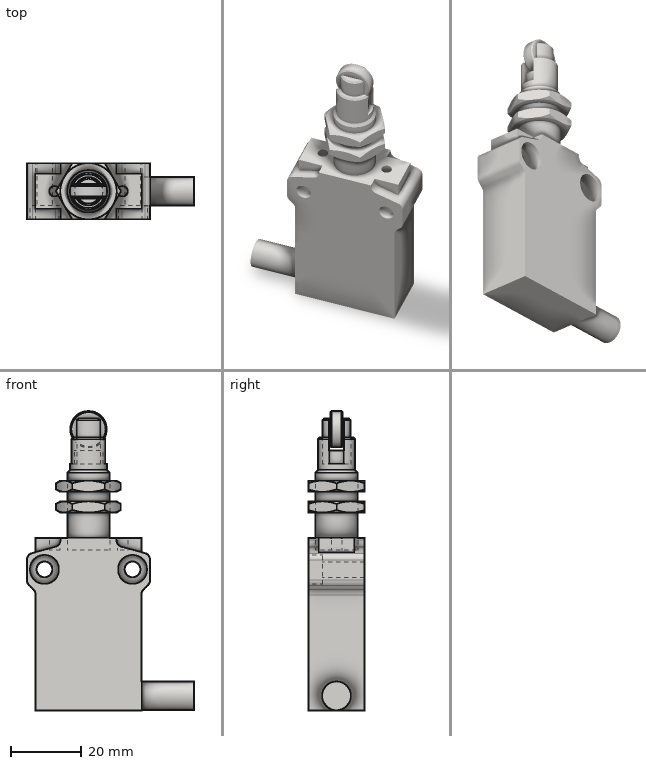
import cadquery as cq
import math


body_width = 30.1
body_depth = 16.0
body_height = 49.0
ear_width = 35.0
ear_side_top = 44.3
ear_side_bottom = 36.2
ear_corner_radius = 2.0
ear_lower_radius = 2.0
shoulder_angle = 15
shoulder_inner_x = 7.9
shoulder_inner_radius = 2.0
top_block_depth = 9.95

mount_pitch = 25.0
mount_height = 40.0
mount_hole_diameter = 4.4
counterbore_diameter = 8.25
counterbore_depth = 4.0

top_hole_pitch = 19.3
top_hole_diameter = 3.0
top_hole_depth = 3.4

cable_diameter = 8.2
cable_length = 15.0
cable_clearance = 0.1
cable_height = cable_clearance + cable_diameter / 2

collar_diameter = 12.1
collar_top = 68.25
collar_chamfer = 0.8
barrel_seat_depth = 3.4
guide_diameter = 10.5
guide_top = 77.5
guide_slot_floor = 70.0
edge_chamfer = 0.5

plunger_diameter = 8.0
plunger_top = 82.9
plunger_slot_floor = 73.8
slot_width = 4.25

roller_diameter = 10.4
roller_width = 3.5
roller_chamfer = 0.3
roller_top = 85.0

nut_across_flats = body_depth
nut_thickness = 3.15
nut_bottoms = (56.2, 62.05)
nut_chamfer_angle = 30


def vertical_cylinder(diameter, bottom, top):
    return cq.Workplane("XY").workplane(offset=bottom).circle(diameter / 2).extrude(top - bottom)


def slot_cutter(floor, top):
    """Block running along X that opens the roller slot from its floor upwards."""
    return (
        cq.Workplane("XY")
        .workplane(offset=floor)
        .rect(2 * collar_diameter, slot_width)
        .extrude(top - floor)
    )


def make_eared_plate():
    """Housing outline with an ear on each side, through the full depth."""
    half_ear = ear_width / 2
    half_body = body_width / 2
    shoulder_rise = (half_ear - shoulder_inner_x) * math.tan(math.radians(shoulder_angle))
    chamfer_bottom = ear_side_bottom - (half_ear - half_body)
    right_side = [
        (half_body, 0),
        (half_body, chamfer_bottom),
        (half_ear, ear_side_bottom),
        (half_ear, ear_side_top),
        (shoulder_inner_x, ear_side_top + shoulder_rise),
        (shoulder_inner_x, body_height),
    ]
    left_side = [(-x, z) for x, z in reversed(right_side)]
    plate = (
        cq.Workplane("XZ", origin=(0, body_depth / 2, 0))
        .polyline(right_side + left_side)
        .close()
        .extrude(body_depth)
    )

    def round_edges(part, x, z, radius):
        for side in (-1, 1):
            part = part.edges(cq.selectors.NearestToPointSelector((side * x, 0, z))).fillet(radius)
        return part

    plate = round_edges(plate, half_ear, ear_side_top, ear_corner_radius)
    plate = round_edges(plate, half_ear, ear_side_bottom, ear_lower_radius)
    plate = round_edges(plate, half_body, chamfer_bottom, ear_lower_radius)
    return round_edges(plate, shoulder_inner_x, ear_side_top + shoulder_rise, shoulder_inner_radius)


def make_housing():
    top_block = cq.Workplane("XY").box(
        body_width, top_block_depth, body_height, centered=(True, True, False)
    )
    housing = make_eared_plate().union(top_block)

    front_face = cq.Workplane("XZ", origin=(0, -body_depth / 2, mount_height))
    mount_points = [(-mount_pitch / 2, 0), (mount_pitch / 2, 0)]
    mount_holes = front_face.pushPoints(mount_points).circle(mount_hole_diameter / 2).extrude(-body_depth)
    counterbores = (
        front_face.pushPoints(mount_points).circle(counterbore_diameter / 2).extrude(-counterbore_depth)
    )

    top_holes = (
        cq.Workplane("XY", origin=(0, 0, body_height))
        .pushPoints([(-top_hole_pitch / 2, 0), (top_hole_pitch / 2, 0)])
        .circle(top_hole_diameter / 2)
        .extrude(-top_hole_depth)
    )
    barrel_seat = vertical_cylinder(collar_diameter, body_height - barrel_seat_depth, body_height)
    return housing.cut(mount_holes).cut(counterbores).cut(top_holes).cut(barrel_seat)


def make_cable():
    return (
        cq.Workplane("YZ", origin=(body_width / 2, 0, cable_height))
        .circle(cable_diameter / 2)
        .extrude(cable_length)
    )


def make_barrel():
    collar = vertical_cylinder(collar_diameter, body_height - barrel_seat_depth, collar_top)
    collar = collar.faces(">Z").chamfer(collar_chamfer)
    guide = vertical_cylinder(guide_diameter, collar_top, guide_top)
    guide = guide.faces(">Z").edges().chamfer(edge_chamfer)
    bore = vertical_cylinder(plunger_diameter, guide_slot_floor, guide_top)
    return collar.union(guide).cut(bore).cut(slot_cutter(guide_slot_floor, guide_top))


def make_plunger():
    plunger = vertical_cylinder(plunger_diameter, guide_slot_floor, plunger_top)
    plunger = plunger.faces(">Z").edges().chamfer(edge_chamfer)
    return plunger.cut(slot_cutter(plunger_slot_floor, plunger_top))


def make_roller():
    roller = (
        cq.Workplane("XZ", origin=(0, roller_width / 2, roller_top - roller_diameter / 2))
        .circle(roller_diameter / 2)
        .extrude(roller_width)
    )
    return roller.faces("<Y or >Y").edges().chamfer(roller_chamfer)


def make_nut(bottom):
    """Hexagon nut with flats facing +Y and -Y and both corner rings turned conical."""
    across_corners = nut_across_flats / math.cos(math.pi / 6)
    corner_overhang = (across_corners - nut_across_flats) / 2
    corner_drop = corner_overhang * math.tan(math.radians(nut_chamfer_angle))
    hexagon = cq.Workplane("XY").polygon(6, across_corners).extrude(nut_thickness)
    turned_blank = (
        cq.Workplane("XY")
        .circle(across_corners / 2)
        .extrude(nut_thickness)
        .edges("%CIRCLE")
        .chamfer(corner_drop, corner_overhang)
    )
    thread = vertical_cylinder(collar_diameter, 0, nut_thickness)
    return hexagon.intersect(turned_blank).cut(thread).translate((0, 0, bottom))


housing = make_housing()
cable = make_cable()
barrel = make_barrel()
plunger = make_plunger()
roller = make_roller()
nuts = [make_nut(bottom) for bottom in nut_bottoms]

result = cq.Compound.makeCompound(
    [housing.val(), cable.val(), barrel.val(), plunger.val(), roller.val()] + [nut.val() for nut in nuts]
)